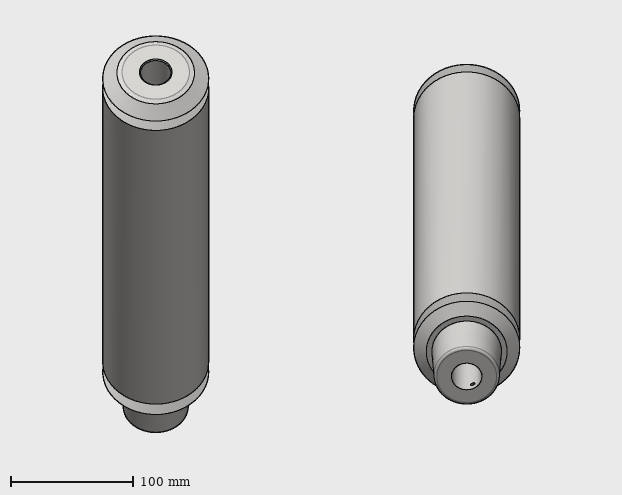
import cadquery as cq

length = 460.0
body_radius = 87.0 / 2

shank_length = 42.5
shank_top_radius = 28.5
shank_end_radius = 26.5
shank_rounding = 2.5

neck_radius = 33.0
lower_rim_z = 48.8
lower_neck_z = 57.0
body_bottom_z = 63.0
body_top_z = 438.5
upper_neck_z = 444.8
upper_rim_z = 451.0

top_face_radius = 55.0 / 2
top_border_radius = 31.7
top_border_drop = 1.0

bore_diameter = 25.0
bore_chamfer = 1.0
cross_hole_diameter = 3.5
cross_hole_z = 8.0


def turned_blank():
    """Solid of revolution about Z, listed from the shank end upward."""
    profile = [
        (0, 0),
        (shank_end_radius, 0),
        (shank_top_radius, shank_length),
        (neck_radius, shank_length),
        (body_radius, lower_rim_z),
        (neck_radius, lower_neck_z),
        (body_radius, body_bottom_z),
        (body_radius, body_top_z),
        (neck_radius, upper_neck_z),
        (body_radius, upper_rim_z),
        (top_border_radius, length - top_border_drop),
        (top_face_radius, length),
        (0, length),
    ]
    blank = cq.Workplane("XZ").polyline(profile).close().revolve(360, (0, 0, 0), (0, 1, 0))
    return blank.faces("<Z").edges().fillet(shank_rounding)


def axial_bore():
    """Full-length bore cutter, flared at the top to chamfer the mouth."""
    bore_radius = bore_diameter / 2
    profile = [
        (0, 0),
        (bore_radius, 0),
        (bore_radius, length - bore_chamfer),
        (bore_radius + bore_chamfer, length),
        (0, length),
    ]
    return cq.Workplane("XZ").polyline(profile).close().revolve(360, (0, 0, 0), (0, 1, 0))


def cross_hole():
    """Radial hole from the -X side of the shank into the bore."""
    return (
        cq.Workplane("YZ")
        .center(0, cross_hole_z)
        .circle(cross_hole_diameter / 2)
        .extrude(-body_radius)
    )


result = turned_blank().cut(axial_bore()).cut(cross_hole())